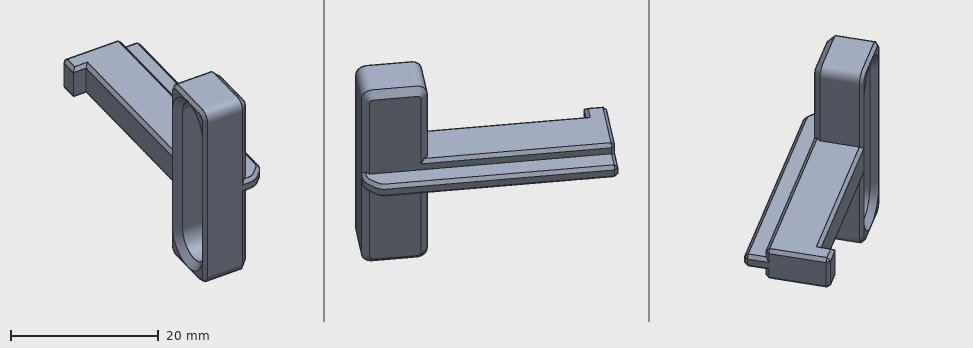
import cadquery as cq

length = 34.5
depth = 7.0
edge_chamfer = 0.5

stem_height = 5.0
hook_width = 3.0
hook_reach = 2.0

fin_height = 3.0
fin_thickness = 2.0
fin_bevel = 2.0
fin_bevel_radius = 2.0

handle_width = 9.0
handle_height = 29.0
handle_corner_radius = 1.5
handle_back_chamfer = 1.0

pocket_width = 6.0
pocket_length = 26.0
pocket_depth = 6.0
pocket_chamfer = 1.0
mouth_taper = 45
upright_angle = 90

handle_center_x = length - handle_width / 2
back = depth + fin_height
fin_front = depth - handle_back_chamfer
fin_depth = back - fin_front


def make_stem():
    """Bar with a hook, ending inside the middle of the handle."""
    outline = (
        cq.Workplane("XY")
        .workplane(offset=-stem_height / 2)
        .moveTo(0, -hook_reach)
        .lineTo(hook_width, -hook_reach)
        .lineTo(hook_width, 0)
        .lineTo(handle_center_x, 0)
        .lineTo(handle_center_x, depth)
        .lineTo(0, depth)
        .close()
    )
    return outline.extrude(stem_height)


def make_fin():
    """Thin plate over the full length, with a softened bevel at its far back corner."""
    plate = (
        cq.Workplane("XY")
        .box(length, fin_depth, fin_thickness, centered=(False, False, True))
        .translate((0, fin_front, 0))
        .edges("|Z and >X and >Y")
        .chamfer(fin_bevel)
    )
    bevel_center = (length - fin_bevel / 2, back - fin_bevel / 2, 0)
    bevel_face = plate.faces(cq.selectors.NearestToPointSelector(bevel_center))
    return bevel_face.edges("|Z").fillet(fin_bevel_radius)


def make_body():
    """Stem and fin joined, with their free rims and the hook end chamfered."""
    body = make_stem().union(make_fin())
    end_rim = body.faces("<X").edges()
    stem_rims = body.faces("<Z or >Z").edges("not >X")
    fin_zone = cq.selectors.BoxSelector(
        (0, depth + edge_chamfer, -fin_thickness),
        (length, back + edge_chamfer, fin_thickness),
    )
    fin_rims = body.edges(fin_zone).edges("not |Z")
    fin_end = body.faces(">X").edges("|Y")
    return end_rim.add(stem_rims).add(fin_rims).add(fin_end).chamfer(edge_chamfer)


def make_handle():
    """Upright rounded bar with chamfered front and back rims."""
    bar = (
        cq.Workplane("XY")
        .box(handle_width, depth, handle_height, centered=(True, False, True))
        .translate((handle_center_x, 0, 0))
        .edges("|Y")
        .fillet(handle_corner_radius)
    )
    return bar.faces("<Y").chamfer(edge_chamfer).faces(">Y").chamfer(handle_back_chamfer)


def pocket_slot(margin):
    """Upright round-ended outline in the front plane, grown by the margin all round."""
    front = cq.Workplane("XZ", origin=(handle_center_x, 0, 0))
    return front.slot2D(pocket_length + 2 * margin, pocket_width + 2 * margin, upright_angle)


def make_pocket():
    """Round-ended pocket with a flared mouth, as a solid to cut away."""
    cavity = pocket_slot(0).extrude(-pocket_depth)
    mouth = pocket_slot(pocket_chamfer).extrude(-pocket_chamfer, taper=mouth_taper)
    return cavity.union(mouth)


result = make_body().union(make_handle()).cut(make_pocket())